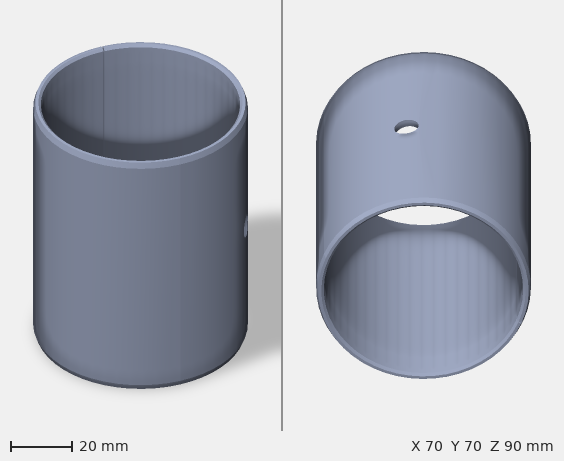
import cadquery as cq
import math

length = 90.0
outer_diameter = 70.0
wall = 2.5
inner_diameter = outer_diameter - 2 * wall

outer_chamfer_length = 2.0
outer_chamfer_depth = 0.7
inner_chamfer = 0.8

slit_width = 0.4

oil_hole_diameter = 8.0
oil_hole_angle = 59.0

outer_radius = outer_diameter / 2
inner_radius = inner_diameter / 2
half_length = length / 2


def make_sleeve():
    """Revolve the chamfered wall section about Z."""
    wall_section = [
        (inner_radius, -half_length + inner_chamfer),
        (inner_radius + inner_chamfer, -half_length),
        (outer_radius - outer_chamfer_depth, -half_length),
        (outer_radius, -half_length + outer_chamfer_length),
        (outer_radius, half_length - outer_chamfer_length),
        (outer_radius - outer_chamfer_depth, half_length),
        (inner_radius + inner_chamfer, half_length),
        (inner_radius, half_length - inner_chamfer),
    ]
    return cq.Workplane("XZ").polyline(wall_section).close().revolve(360, (0, 0), (0, 1))


def make_slit():
    """Thin slab from the axis out through the -X wall."""
    return cq.Workplane("XY").box(
        outer_diameter, slit_width, length, centered=(True, False, True)
    ).translate((-outer_radius, 0, 0))


def make_oil_hole():
    """Cylinder from the axis out through one side of the wall."""
    angle = math.radians(oil_hole_angle)
    direction = cq.Vector(math.cos(angle), math.sin(angle), 0)
    return cq.Solid.makeCylinder(oil_hole_diameter / 2, outer_diameter, cq.Vector(0, 0, 0), direction)


result = make_sleeve().cut(make_slit()).cut(cq.Workplane(make_oil_hole()))